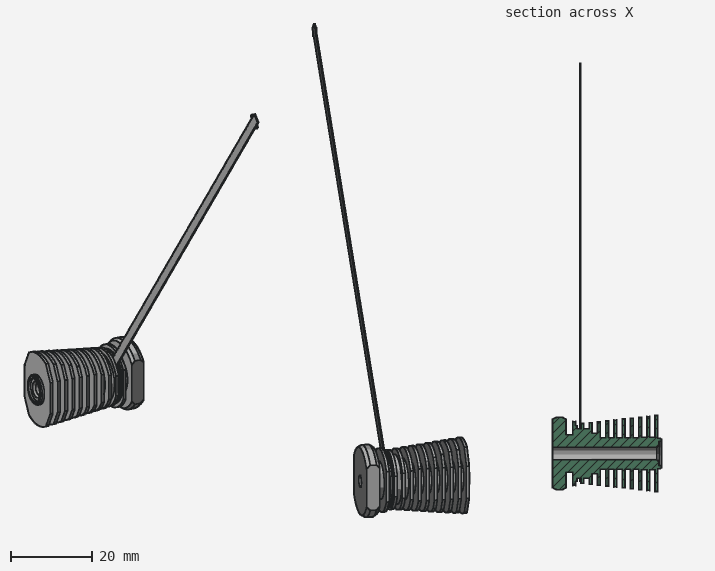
import cadquery as cq
import math


OVERALL_HEIGHT = 105.8

SPOOL_LENGTH = 27.0
FLAT_WIDTH = 13.9

FLANGE_DIAMETER = 18.0
FLANGE_FACE_DIAMETER = 16.9
FLANGE_THICKNESS = 3.4
FLANGE_BACK_BEVEL = 1.0
FLANGE_FRONT_BEVEL = 0.8

FIN_COUNT = 11
FIN_THICKNESS = 0.7
FIRST_FIN_DEPTH = 5.4
LAST_FIN_DEPTH = 25.7
FIN_PITCH = (LAST_FIN_DEPTH - FIRST_FIN_DEPTH) / (FIN_COUNT - 1)
BACK_FIN_RADIUS = 7.9
SMALLEST_FIN_RADIUS = 7.4
LARGEST_FIN_RADIUS = 9.4
SLANT_DISTANCE = 8.0
SLANT_ANGLE = 30.0

NECK_DIAMETER = 9.4
COLLAR_DIAMETER = 13.8
COLLAR_THICKNESS = 0.3
ARM_SEAT_DIAMETER = 12.4
MIDDLE_HUB_DIAMETER = 10.2
SLIM_HUB_DIAMETER = 7.9
FRONT_HUB_DIAMETER = 8.1

NOSE_DIAMETER = 7.6
NOSE_BEVEL = 0.3
RECESS_DIAMETER = 6.0
RECESS_DEPTH = 0.6
BORE_DIAMETER = 3.0
COUNTERSINK_DIAMETER = 4.1

ARM_ANGLE = 50.0
ARM_WIDTH = 2.4
ARM_RISE = math.sin(math.radians(ARM_ANGLE))
ARM_RUN = math.cos(math.radians(ARM_ANGLE))
TIP_HEIGHT = OVERALL_HEIGHT - LARGEST_FIN_RADIUS
ARM_REACH = (TIP_HEIGHT - ARM_WIDTH / 2 * ARM_RUN) / ARM_RISE
ARM_THICKNESS = 0.3
EYE_DIAMETER = 13.8
BARB_SPAN = 3.7
BARB_LENGTH = 0.7
BARB_SETBACK = 1.3


def fin_depth(index):
    """Depth of the middle of a fin, counted from the back."""
    return FIRST_FIN_DEPTH + index * FIN_PITCH


def fin_radius(index):
    """The back fin stands alone; the others grow evenly towards the front."""
    if index == 0:
        return BACK_FIN_RADIUS
    growth = (index - 1) / (FIN_COUNT - 2)
    return SMALLEST_FIN_RADIUS + growth * (LARGEST_FIN_RADIUS - SMALLEST_FIN_RADIUS)


def disc(diameter, back_depth, front_depth):
    """Cylinder about the spool axis between two depths."""
    plane = cq.Workplane("XZ", origin=(0, -back_depth, 0))
    return plane.circle(diameter / 2).extrude(front_depth - back_depth)


def slab(half_width, angle):
    """Block about the axis, bounded by two parallel planes square to the given direction."""
    block = cq.Workplane("XY").box(2 * half_width, 2 * SPOOL_LENGTH, 4 * FLANGE_DIAMETER)
    return block.rotate((0, 0, 0), (0, 1, 0), angle)


def make_flange():
    face_radius = FLANGE_FACE_DIAMETER / 2
    rim_radius = FLANGE_DIAMETER / 2
    flange = (
        cq.Workplane("XY")
        .lineTo(face_radius, 0)
        .lineTo(rim_radius, -FLANGE_BACK_BEVEL)
        .lineTo(rim_radius, FLANGE_FRONT_BEVEL - FLANGE_THICKNESS)
        .lineTo(face_radius, -FLANGE_THICKNESS)
        .lineTo(0, -FLANGE_THICKNESS)
        .close()
        .revolve(360, (0, 0, 0), (0, 1, 0))
    )
    return flange.intersect(slab(FLAT_WIDTH / 2, 0))


def make_fin(index):
    """Round plate with two vertical flats and, where it is large enough, four slanted ones."""
    back = fin_depth(index) - FIN_THICKNESS / 2
    fin = disc(2 * fin_radius(index), back, back + FIN_THICKNESS)
    fin = fin.intersect(slab(FLAT_WIDTH / 2, 0))
    for angle in (-SLANT_ANGLE, SLANT_ANGLE):
        fin = fin.intersect(slab(SLANT_DISTANCE, angle))
    return fin


def make_hub():
    hub = disc(NECK_DIAMETER, 0, fin_depth(0))
    collar_front = fin_depth(0) + FIN_THICKNESS / 2 + COLLAR_THICKNESS
    hub = hub.union(disc(COLLAR_DIAMETER, fin_depth(0), collar_front))
    hub = hub.union(disc(ARM_SEAT_DIAMETER, fin_depth(0), fin_depth(2)))
    hub = hub.union(disc(MIDDLE_HUB_DIAMETER, fin_depth(2), fin_depth(3)))
    hub = hub.union(disc(SLIM_HUB_DIAMETER, fin_depth(3), fin_depth(8)))
    hub = hub.union(disc(FRONT_HUB_DIAMETER, fin_depth(8), LAST_FIN_DEPTH))
    nose = disc(NOSE_DIAMETER, LAST_FIN_DEPTH, SPOOL_LENGTH)
    return hub.union(nose.faces("<Y").chamfer(NOSE_BEVEL))


def make_bore():
    """Through hole with a countersunk mouth at the floor of the nose recess."""
    floor = SPOOL_LENGTH - RECESS_DEPTH
    sink_depth = (COUNTERSINK_DIAMETER - BORE_DIAMETER) / 2
    bore = disc(BORE_DIAMETER, 0, SPOOL_LENGTH)
    recess = disc(RECESS_DIAMETER, floor, SPOOL_LENGTH)
    countersink = cq.Workplane(
        cq.Solid.makeCone(
            COUNTERSINK_DIAMETER / 2,
            BORE_DIAMETER / 2,
            sink_depth,
            pnt=cq.Vector(0, -floor, 0),
            dir=cq.Vector(0, 1, 0),
        )
    )
    return bore.union(recess).union(countersink)


def make_spool():
    spool = make_flange().union(make_hub())
    for index in range(FIN_COUNT):
        spool = spool.union(make_fin(index))
    return spool.cut(make_bore())


def make_arm():
    """Flat barbed strip with an eye around the hub, lying on the back of the second fin."""
    front = fin_depth(1) - FIN_THICKNESS / 2
    middle = front - ARM_THICKNESS / 2
    strip = cq.Workplane("XY").box(
        ARM_REACH, ARM_THICKNESS, ARM_WIDTH, centered=(False, True, True)
    )
    barbs = cq.Workplane("XY").box(BARB_LENGTH, ARM_THICKNESS, BARB_SPAN)
    barbs = barbs.translate((ARM_REACH - BARB_SETBACK - BARB_LENGTH / 2, 0, 0))
    arm = strip.union(barbs).translate((0, -middle, 0))
    arm = arm.rotate((0, 0, 0), (0, 1, 0), -ARM_ANGLE)
    arm = arm.union(disc(EYE_DIAMETER, front - ARM_THICKNESS, front))
    return arm.cut(disc(ARM_SEAT_DIAMETER, 0, SPOOL_LENGTH))


spool = make_spool()
arm = make_arm()
result = cq.Compound.makeCompound([spool.val(), arm.val()])